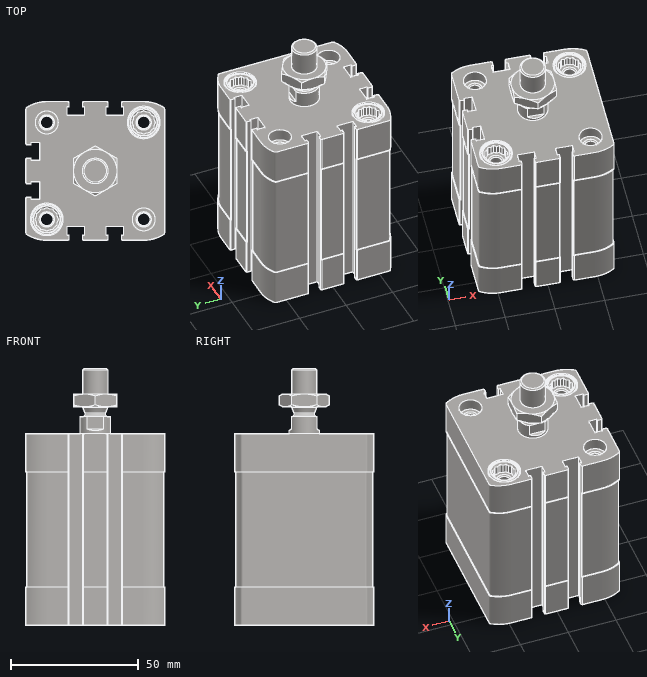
import cadquery as cq
import math

side = 54.5
housing_height = 75.2
cap_height = 15.0
tube_inset = 0.3
corner_tangent = 19.0
corner_flank = 24.7
corner_edge_fillet = 1.0

slot_offset = 7.65
slot_mouth = 5.2
slot_width = 6.8
slot_depth = 5.4
lip_depth = 2.1
mouth_chamfer = 0.35

hole_offset = 19.0
bore_dia = 4.92
thread_dia = 6.0
counterbore_dia = 9.0
counterbore_depth = 5.0

socket_rim_dia = 12.8
socket_head_dia = 11.9
socket_crest_dia = 10.8
socket_cone_dia = 10.4
rim_depth = 0.7
crest_drop = 0.2
socket_points = 12
socket_point_dia = 9.2
socket_valley_dia = 8.5
socket_depth = 5.0

rod_dia = 12.0
rod_length = 25.5
rod_seat_depth = 10.0
shoulder_height = 6.6
flat_across = 10.0
flat_bottom = 1.8
flat_run_out = 0.6
neck_dia = 8.2
neck_bottom = 7.2
neck_top = 8.1
thread_start = 10.3
rod_thread_dia = 10.0
rod_chamfer = 0.6

nut_across_flats = 17.0
nut_height = 5.0
nut_bottom = 10.5
nut_chamfer_angle = math.radians(30)
hexagon_half_angle = math.radians(30)


def block(inset, bottom, height):
    """Square block whose sides bulge in large arcs at the four corners."""
    half = side / 2 - inset
    flank = corner_flank - inset
    run = half - corner_tangent
    drop = half - flank
    radius = (run**2 + drop**2) / (2 * drop)
    half_angle = math.asin(run / radius) / 2
    mid_x = corner_tangent + radius * math.sin(half_angle)
    mid_y = half - radius * (1 - math.cos(half_angle))
    outline = (
        cq.Workplane("XY", origin=(0, 0, bottom))
        .moveTo(-corner_tangent, half)
        .lineTo(corner_tangent, half)
        .threePointArc((mid_x, mid_y), (half, flank))
        .lineTo(half, -flank)
        .threePointArc((mid_x, -mid_y), (corner_tangent, -half))
        .lineTo(-corner_tangent, -half)
        .threePointArc((-mid_x, -mid_y), (-half, -flank))
        .lineTo(-half, flank)
        .threePointArc((-mid_x, mid_y), (-corner_tangent, half))
        .close()
    )
    solid = outline.extrude(height)
    flank_edges = solid.edges("|Z").edges("<X or >X")
    return flank_edges.fillet(corner_edge_fillet)


def slot(inset, turn, offset):
    """T-slot with chamfered mouth edges, laid out on the +Y side and then turned about Z."""
    face = side / 2 - inset
    lip = side / 2 - lip_depth
    floor = side / 2 - slot_depth
    half_mouth = slot_mouth / 2
    half_width = slot_width / 2
    cutter = (
        cq.Workplane("XY", origin=(offset, 0, 0))
        .moveTo(half_mouth + mouth_chamfer, face)
        .lineTo(half_mouth, face - mouth_chamfer)
        .lineTo(half_mouth, lip)
        .lineTo(half_width, lip)
        .lineTo(half_width, floor)
        .lineTo(-half_width, floor)
        .lineTo(-half_width, lip)
        .lineTo(-half_mouth, lip)
        .lineTo(-half_mouth, face - mouth_chamfer)
        .lineTo(-half_mouth - mouth_chamfer, face)
        .close()
        .extrude(housing_height)
    )
    return cutter.rotate((0, 0, 0), (0, 0, 1), turn)


def section(inset, bottom, height):
    """One length of the housing, slotted on every side but +X."""
    body = block(inset, bottom, height)
    for turn in (0, 90, 180):
        for offset in (-slot_offset, slot_offset):
            body = body.cut(slot(inset, turn, offset))
    return body


def turned(profile):
    """Solid of revolution about Z from (radius, height) points."""
    return cq.Workplane("XZ").polyline(profile).close().revolve(360, (0, 0), (0, 1))


def bore_profile(seat):
    """Profile points of a through bore with a countersink starting at the seat height."""
    sink = (thread_dia - bore_dia) / 2
    return [(bore_dia / 2, seat - sink), (bore_dia / 2, 0), (0, 0)]


def counterbored_hole():
    """Cutter for a plain corner hole."""
    seat = housing_height - counterbore_depth
    return turned(
        [
            (0, housing_height),
            (counterbore_dia / 2, housing_height),
            (counterbore_dia / 2, seat),
            (thread_dia / 2, seat),
        ]
        + bore_profile(seat)
    )


def splined_socket():
    """Prism with a twelve-pointed star outline, reaching up to the crest level."""
    radii = (socket_point_dia / 2, socket_valley_dia / 2)
    outline = []
    for corner in range(2 * socket_points):
        radius = radii[corner % 2]
        angle = math.pi * corner / socket_points
        outline.append((radius * math.cos(angle), radius * math.sin(angle)))
    base = cq.Workplane("XY", origin=(0, 0, housing_height - socket_depth))
    return base.polyline(outline).close().extrude(socket_depth - crest_drop)


def socket_hole():
    """Cutter for a socket corner: ring groove, entry cone, star socket and through bore."""
    seat = housing_height - socket_depth
    through = turned([(0, seat), (thread_dia / 2, seat)] + bore_profile(seat))
    crest = housing_height - crest_drop
    cone_bottom = crest - (socket_cone_dia - socket_valley_dia) / 2
    entry = turned(
        [
            (0, housing_height),
            (socket_rim_dia / 2, housing_height),
            (socket_rim_dia / 2, housing_height - rim_depth),
            (socket_head_dia / 2, housing_height - rim_depth),
            (socket_crest_dia / 2, crest),
            (socket_cone_dia / 2, crest),
            (socket_valley_dia / 2, cone_bottom),
            (0, cone_bottom),
        ]
    )
    return entry.union(splined_socket()).union(through)


def rod_envelope():
    """Turned shape of the rod without wrench flats, also used to cut its seat and the nut bore."""
    neck_foot = neck_dia / 2 + neck_bottom - shoulder_height
    return turned(
        [
            (0, -rod_seat_depth),
            (rod_dia / 2, -rod_seat_depth),
            (rod_dia / 2, shoulder_height),
            (neck_foot, shoulder_height),
            (neck_dia / 2, neck_bottom),
            (neck_dia / 2, neck_top),
            (rod_thread_dia / 2, thread_start),
            (rod_thread_dia / 2, rod_length - rod_chamfer),
            (rod_thread_dia / 2 - rod_chamfer, rod_length),
            (0, rod_length),
        ]
    ).translate((0, 0, housing_height))


def build_housing():
    tube_height = housing_height - 2 * cap_height
    body = section(0, 0, cap_height)
    body = body.union(section(tube_inset, cap_height, tube_height))
    body = body.union(section(0, housing_height - cap_height, cap_height))
    for sign in (-1, 1):
        place = sign * hole_offset
        body = body.cut(counterbored_hole().translate((-place, place, 0)))
        body = body.cut(socket_hole().translate((place, place, 0)))
    return body.cut(rod_envelope())


def build_rod():
    rod = rod_envelope()
    for sign in (-1, 1):
        flat_cut = (
            cq.Workplane("YZ", origin=(-rod_dia / 2, 0, housing_height))
            .moveTo(sign * flat_across / 2, shoulder_height)
            .lineTo(sign * flat_across / 2, flat_bottom)
            .lineTo(sign * rod_dia / 2, flat_bottom - flat_run_out)
            .lineTo(sign * rod_dia / 2, shoulder_height)
            .close()
            .extrude(rod_dia)
        )
        rod = rod.cut(flat_cut)
    return rod


def build_nut():
    corner_dia = nut_across_flats / math.cos(hexagon_half_angle)
    bottom = housing_height + nut_bottom
    nut = cq.Workplane("XY").polygon(6, corner_dia).extrude(nut_height)
    nut = nut.rotate((0, 0, 0), (0, 0, 1), math.degrees(hexagon_half_angle))
    face_radius = nut_across_flats / 2
    corner_radius = corner_dia / 2
    chamfer_drop = (corner_radius - face_radius) * math.tan(nut_chamfer_angle)
    nut = nut.intersect(
        turned(
            [
                (0, 0),
                (face_radius, 0),
                (corner_radius, chamfer_drop),
                (corner_radius, nut_height - chamfer_drop),
                (face_radius, nut_height),
                (0, nut_height),
            ]
        )
    )
    return nut.translate((0, 0, bottom)).cut(rod_envelope())


housing = build_housing()
rod = build_rod()
nut = build_nut()

result = cq.Compound.makeCompound([housing.val(), rod.val(), nut.val()])